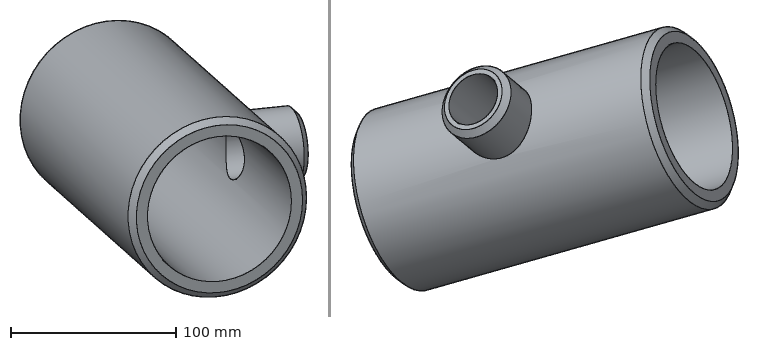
import cadquery as cq

run_length = 209.3
run_diameter = 114.3
run_wall = 11.0
run_bore = run_diameter - 2 * run_wall

branch_diameter = 48.3
branch_wall = 7.1
branch_bore = branch_diameter - 2 * branch_wall
branch_reach = 85.8

bevel = 4.0


def cylinder_along_x(diameter):
    """Full-length cylinder centred on the origin, with its axis along X."""
    return cq.Workplane("YZ").circle(diameter / 2).extrude(run_length / 2, both=True)


def cylinder_along_y(diameter):
    """Cylinder from the run axis out to the branch end face."""
    return cq.Workplane("XZ").circle(diameter / 2).extrude(-branch_reach)


run = cylinder_along_x(run_diameter).faces("<X or >X").chamfer(bevel)
branch = cylinder_along_y(branch_diameter).faces(">Y").chamfer(bevel)

result = run.union(branch).cut(cylinder_along_x(run_bore)).cut(cylinder_along_y(branch_bore))